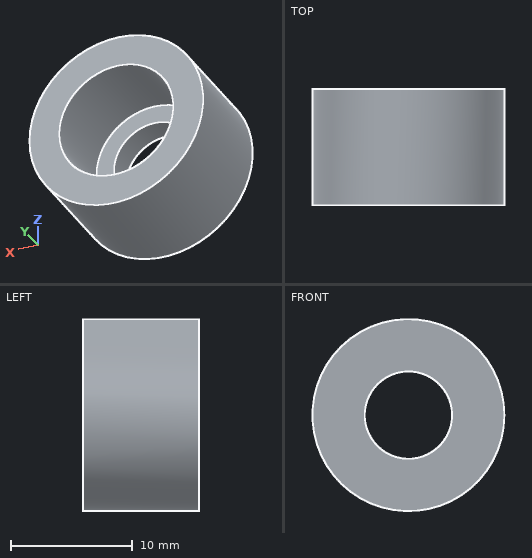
import cadquery as cq

outer_diameter = 15.75
bore_diameter = 7.14
counterbore_diameter = 10.32
length = 9.53
lip_thickness = 2.38

front_y = -length / 2
back_y = length / 2


def cylinder_along_y(diameter, start_y, end_y):
    """Solid cylinder on the Y axis between two Y positions."""
    return (
        cq.Workplane("XZ", origin=(0, end_y, 0))
        .circle(diameter / 2)
        .extrude(end_y - start_y)
    )


body = cylinder_along_y(outer_diameter, front_y, back_y)
bore = cylinder_along_y(bore_diameter, front_y, back_y)
counterbore = cylinder_along_y(counterbore_diameter, front_y + lip_thickness, back_y)

result = body.cut(bore).cut(counterbore)